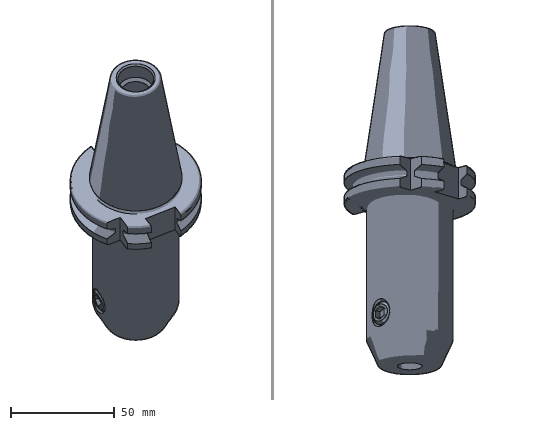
import cadquery as cq
import math

small_end_z = 68.4
taper_base_z = -1.3
flange_top_z = -3.2
groove_z = -11.1
flange_bottom_z = -19.0
shoulder_z = -87.0
nose_z = small_end_z - 168.4

gauge_radius = 22.2
taper_slope = 7 / 48
small_end_round = 1.0
neck_radius = 21.7
neck_fillet = 1.0

flange_radius = 63.5 / 2
flange_round = 1.0
groove_floor_radius = 28.0
groove_opening = 7.0
groove_flank_angle = 30
groove_floor_fillet = 0.7
slot_width = 16.2
left_slot_floor = 22.7
right_slot_floor = 25.0
notch_x = 18.4
notch_y = 18.5

body_radius = 42.0 / 2
body_fillet = 3.0
shoulder_round = 2.5
nose_radius = 15.2
nose_round = 2.0

tool_bore_radius = 5.9
thread_radius = 14.0 / 2
thread_length = 13.5
thread_cone_height = 1.3
counterbore_radius = 8.6
counterbore_depth = 8.6
counterbore_cone_height = 1.3
mouth_chamfer = 0.8

screw_z = nose_z + 22.5
screw_radius = 5.7
screw_chamfer = 1.5
screw_chamfer_angle = 45
countersink_radius = 6.9
countersink_angle = 50
hex_across_flats = 5.7
hex_depth = 3.4
hex_half_angle = 30
balance_hole_z = nose_z + 25.3
balance_hole_radius = 6.4
balance_hole_depth = 5.0


def taper_radius(z):
    return gauge_radius - taper_slope * z


def on_side(y_direction, distance, z):
    """Workplane facing outwards, at a distance from the axis along +Y or -Y."""
    return cq.Workplane(
        cq.Plane(origin=(0, y_direction * distance, z), xDir=(1, 0, 0), normal=(0, y_direction, 0))
    )


def ring_edges(solid, radius, z):
    """Circular edges around the axis with the given radius and level."""
    tolerance = 0.02

    def matches(edge):
        return abs(edge.radius() - radius) < tolerance and abs(edge.Center().z - z) < tolerance

    return solid.edges("%CIRCLE").filter(matches)


def turned_body():
    flank_height = (flange_radius - groove_floor_radius) * math.tan(math.radians(groove_flank_angle))
    half_opening = groove_opening / 2
    half_floor = half_opening - flank_height
    outline = [
        (0, small_end_z),
        (taper_radius(small_end_z), small_end_z),
        (taper_radius(taper_base_z), taper_base_z),
        (neck_radius, taper_base_z),
        (neck_radius, flange_top_z),
        (flange_radius, flange_top_z),
        (flange_radius, groove_z + half_opening),
        (groove_floor_radius, groove_z + half_floor),
        (groove_floor_radius, groove_z - half_floor),
        (flange_radius, groove_z - half_opening),
        (flange_radius, flange_bottom_z),
        (body_radius, flange_bottom_z),
        (body_radius, shoulder_z),
        (nose_radius, nose_z),
        (0, nose_z),
    ]
    body = cq.Workplane("XZ").polyline(outline).close().revolve(360, (0, 0), (0, 1))
    rounds = [
        (taper_radius(small_end_z), small_end_z, small_end_round),
        (neck_radius, flange_top_z, neck_fillet),
        (flange_radius, flange_top_z, flange_round),
        (groove_floor_radius, groove_z + half_floor, groove_floor_fillet),
        (groove_floor_radius, groove_z - half_floor, groove_floor_fillet),
        (flange_radius, flange_bottom_z, flange_round),
        (body_radius, flange_bottom_z, body_fillet),
        (body_radius, shoulder_z, shoulder_round),
        (nose_radius, nose_z, nose_round),
    ]
    for radius, z, size in rounds:
        body = ring_edges(body, radius, z).fillet(size)
    return body


def central_bore():
    cone_z = small_end_z - counterbore_depth
    thread_z = cone_z - counterbore_cone_height
    thread_end_z = thread_z - thread_length
    outline = [
        (0, small_end_z),
        (counterbore_radius + mouth_chamfer, small_end_z),
        (counterbore_radius, small_end_z - mouth_chamfer),
        (counterbore_radius, cone_z),
        (thread_radius, thread_z),
        (thread_radius, thread_end_z),
        (tool_bore_radius, thread_end_z - thread_cone_height),
        (tool_bore_radius, nose_z),
        (0, nose_z),
    ]
    return cq.Workplane("XZ").polyline(outline).close().revolve(360, (0, 0), (0, 1))


def flange_cuts():
    """Two drive slots and the corner notch, through the flange and the fillet below it."""
    bottom_z = flange_bottom_z - body_fillet
    height = flange_top_z - bottom_z
    base = cq.Workplane("XY", origin=(0, 0, bottom_z))
    reach = flange_radius
    left = base.center(-left_slot_floor - reach / 2, 0).rect(reach, slot_width).extrude(height)
    right = base.center(right_slot_floor + reach / 2, 0).rect(reach, slot_width).extrude(height)
    notch = base.center(notch_x + reach / 2, -notch_y - reach / 2).rect(reach, reach).extrude(height)
    return left.union(right).union(notch)


def screw_recess_cut():
    """Countersink, chamfered rim and hexagon socket of a screw standing flush with the body."""
    countersink_depth = (countersink_radius - screw_radius) / math.tan(math.radians(countersink_angle))
    countersink = (
        on_side(-1, body_radius, screw_z)
        .circle(countersink_radius)
        .extrude(-countersink_depth, taper=countersink_angle)
    )
    screw_seat = on_side(-1, body_radius, screw_z).circle(screw_radius).extrude(-screw_chamfer)
    screw_end = (
        on_side(-1, body_radius - screw_chamfer, screw_z)
        .circle(screw_radius)
        .extrude(screw_chamfer, taper=screw_chamfer_angle)
    )
    corner_diameter = hex_across_flats / math.cos(math.radians(hex_half_angle))
    socket = (
        on_side(-1, body_radius, screw_z)
        .transformed(rotate=(0, 0, hex_half_angle))
        .polygon(6, corner_diameter)
        .extrude(-hex_depth)
    )
    return countersink.union(screw_seat).cut(screw_end).union(socket)


def balance_hole():
    return on_side(1, body_radius, balance_hole_z).circle(balance_hole_radius).extrude(-balance_hole_depth)


result = (
    turned_body()
    .cut(central_bore())
    .cut(flange_cuts())
    .cut(screw_recess_cut())
    .cut(balance_hole())
)